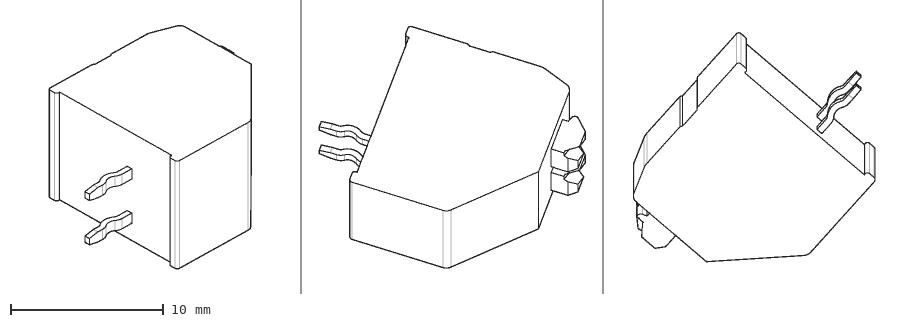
import cadquery as cq
import math


total_length = 16.8
body_width = 12.0
body_depth = 11.49
body_height = 8.5

foot_width = 0.8
foot_height = 0.29
foot_round = 0.2

lead_in_drop = 2.22
lead_in_angle = 20.0
lead_in_top_round = 0.5
lead_in_bottom_round = 1.0

bevel_size = 4.7
bevel_round = 0.67

dip_depth = 0.1
dip_start = 4.08
dip_end = 5.81
dip_ramp = 0.17

pole_pitch = 3.5
pole_count = 2

lever_length = 1.7
lever_right = 4.75
lever_neck_width = 2.27
lever_thickness = 2.64
lever_base = 0.85
lever_tip_left = 2.82
lever_tip_right = 4.3
lever_bevel_drop = 0.54
hook_left = 1.98
hook_top_drop = 0.82
hook_side_drop = 0.92
hook_belly_drop = 1.2
hook_neck_drop = 1.3
hook_belly_left = 2.17

slot_depth = 0.8
slot_floor_width = 0.4
slot_wall_angle = 28.0

pin_left = 7.07
pin_thickness = 0.42
pin_width = 0.8
pin_tip_width = 0.5
pin_taper_length = 0.77
pin_base = 1.36
pin_length = total_length - body_depth - lever_length
kink_offset = 0.29
kink_start = 0.6
kink_end = 2.4
kink_bend_share = 0.27


def make_housing():
    shoulder_run = lead_in_drop * math.tan(math.radians(lead_in_angle))
    outline = [
        (0, 0),
        (foot_width, 0),
        (foot_width, foot_height),
        (body_width - foot_width, foot_height),
        (body_width - foot_width, 0),
        (body_width, 0),
        (body_width, body_depth - bevel_size),
        (body_width - bevel_size, body_depth),
        (shoulder_run, body_depth),
        (0, body_depth - lead_in_drop),
        (0, dip_end),
        (dip_depth, dip_end - dip_ramp),
        (dip_depth, dip_start + dip_ramp),
        (0, dip_start),
    ]
    body = cq.Workplane("XY").polyline(outline).close().extrude(body_height)

    rounds = [
        ((0, 0), foot_round),
        ((foot_width, 0), foot_round),
        ((body_width - foot_width, 0), foot_round),
        ((body_width, 0), foot_round),
        ((body_width, body_depth - bevel_size), bevel_round),
        ((shoulder_run, body_depth), lead_in_top_round),
        ((0, body_depth - lead_in_drop), lead_in_bottom_round),
    ]
    for (x, y), radius in rounds:
        corner = cq.selectors.NearestToPointSelector((x, y, body_height / 2))
        body = body.edges("|Z").edges(corner).fillet(radius)
    return body


def make_lever(base_z):
    tip_y = body_depth + lever_length
    neck_left = lever_right - lever_neck_width
    blade = (
        cq.Workplane("XY", origin=(0, 0, base_z))
        .moveTo(lever_right, body_depth)
        .lineTo(lever_right, tip_y - lever_bevel_drop)
        .lineTo(lever_tip_right, tip_y)
        .lineTo(lever_tip_left, tip_y)
        .lineTo(hook_left, tip_y - hook_top_drop)
        .lineTo(hook_left, tip_y - hook_side_drop)
        .tangentArcPoint((hook_belly_left, tip_y - hook_belly_drop), relative=False)
        .lineTo(neck_left, tip_y - hook_neck_drop)
        .lineTo(neck_left, body_depth)
        .close()
        .extrude(lever_thickness)
    )

    floor_half = slot_floor_width / 2
    mouth_half = floor_half + slot_depth * math.tan(math.radians(slot_wall_angle))
    tip_middle_x = (lever_tip_left + lever_tip_right) / 2
    slot_center = (tip_middle_x, tip_y, base_z + lever_thickness / 2)
    slot_plane = cq.Plane(origin=slot_center, xDir=(1, 0, -1), normal=(1, 0, 1))
    slot = (
        cq.Workplane(slot_plane)
        .polyline([
            (-floor_half, -slot_depth),
            (floor_half, -slot_depth),
            (mouth_half, 0),
            (-mouth_half, 0),
        ])
        .close()
        .extrude(2 * lever_thickness, both=True)
    )
    return blade.cut(slot)


def pin_outline():
    """Strip with a sideways kink built from concentric tangent arcs."""
    half_kink = (kink_end - kink_start) / 2
    swing = 2 * math.atan(kink_offset / half_kink)
    radius_sum = half_kink / math.sin(swing)
    bend_inner = kink_bend_share * radius_sum
    bend_outer = bend_inner + pin_thickness
    crown_outer = radius_sum - bend_inner
    crown_inner = crown_outer - pin_thickness

    kink_middle = -(kink_start + kink_end) / 2
    crown_x = pin_left - kink_offset + crown_outer
    bend_x = pin_left - bend_inner
    pin_right = pin_left + pin_thickness

    def on_crown(radius, angle):
        return (crown_x - radius * math.cos(angle), kink_middle + radius * math.sin(angle))

    def on_bend(radius, angle, side):
        y = side * (half_kink - radius * math.sin(angle))
        return (bend_x + radius * math.cos(angle), kink_middle + y)

    return (
        cq.Workplane("XY")
        .moveTo(pin_left, foot_height)
        .lineTo(pin_left, -kink_start)
        .threePointArc(on_bend(bend_inner, swing / 2, 1), on_crown(crown_outer, swing))
        .threePointArc(on_crown(crown_outer, 0), on_crown(crown_outer, -swing))
        .threePointArc(on_bend(bend_inner, swing / 2, -1), (pin_left, -kink_end))
        .lineTo(pin_left, -pin_length)
        .lineTo(pin_right, -pin_length)
        .lineTo(pin_right, -kink_end)
        .threePointArc(on_bend(bend_outer, swing / 2, -1), on_crown(crown_inner, -swing))
        .threePointArc(on_crown(crown_inner, 0), on_crown(crown_inner, swing))
        .threePointArc(on_bend(bend_outer, swing / 2, 1), (pin_right, -kink_start))
        .lineTo(pin_right, foot_height)
        .close()
    )


def make_pin(base_z):
    strip = pin_outline().extrude(pin_width).translate((0, 0, base_z))

    middle_z = base_z + pin_width / 2
    profile = (
        cq.Workplane("YZ")
        .polyline([
            (foot_height, base_z),
            (foot_height, base_z + pin_width),
            (pin_taper_length - pin_length, base_z + pin_width),
            (-pin_length, middle_z + pin_tip_width / 2),
            (-pin_length, middle_z - pin_tip_width / 2),
            (pin_taper_length - pin_length, base_z),
        ])
        .close()
        .extrude(body_width)
    )
    return strip.intersect(profile)


result = make_housing()
for pole in range(pole_count):
    rise = pole * pole_pitch
    result = result.union(make_lever(lever_base + rise))
    result = result.union(make_pin(pin_base + rise))